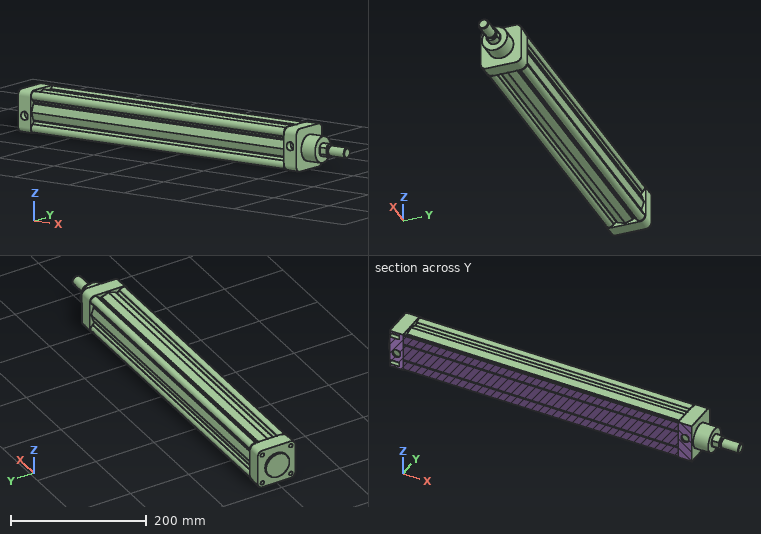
import cadquery as cq
import math


total_length = 579.0
collar_length = 3.5
cap_length = 23.0
barrel_length = 460.5
neck_length = 25.0
thread_length = 29.5
undercut_length = 2.5

rear_cap_start = -total_length / 2 + collar_length
barrel_start = rear_cap_start + cap_length
front_cap_start = barrel_start + barrel_length
front_cap_end = front_cap_start + cap_length
neck_end = front_cap_end + neck_length
rod_end = total_length / 2
thread_start = rod_end - thread_length
flats_end = thread_start - undercut_length

cap_size = 65.0
cap_corner_radius = 9.0
collar_diameter = 40.0
screw_spacing = 49.0
screw_hole_diameter = 6.0
screw_hole_depth = 16.0
port_diameter = 12.5
port_depth = 10.0
port_offset = 6.0

body_radius = 28.6
corner_flat_distance = 27.0
lobe_radius = 6.7
lobe_offset = screw_spacing / 2
web_width = 13.8
web_reach = 32.2
ridge_height = 30.0
ridge_half_width = 8.2

rod_diameter = 20.0
rod_across_flats = 17.4
flats_gap = 1.0
undercut_diameter = 13.5
thread_diameter = 16.0
thread_chamfer = 1.0


def cross_section(x):
    """Work plane normal to X at the given station: local x is +Y, local y is +Z."""
    return cq.Workplane("YZ", origin=(x, 0, 0))


def cap_block(start):
    block = cross_section(start).rect(cap_size, cap_size).extrude(cap_length)
    return block.edges("|X").fillet(cap_corner_radius)


def port_hole(cap_start, height):
    """Blind air port sunk into the -Y side of a cap, midway along its length."""
    port_x = cap_start + cap_length / 2
    plane = cq.Workplane("XZ", origin=(port_x, -cap_size / 2, height))
    return plane.circle(port_diameter / 2).extrude(-port_depth)


def make_rear_cap():
    collar = cross_section(-total_length / 2).circle(collar_diameter / 2).extrude(collar_length)
    screw_holes = (
        cross_section(rear_cap_start)
        .rect(screw_spacing, screw_spacing, forConstruction=True)
        .vertices()
        .circle(screw_hole_diameter / 2)
        .extrude(screw_hole_depth)
    )
    cap = cap_block(rear_cap_start).union(collar)
    return cap.cut(screw_holes).cut(port_hole(rear_cap_start, -port_offset))


def make_front_cap():
    neck = cross_section(front_cap_end).circle(collar_diameter / 2).extrude(neck_length)
    rod_bore = cross_section(front_cap_start).circle(rod_diameter / 2).extrude(cap_length + neck_length)
    cap = cap_block(front_cap_start).union(neck)
    return cap.cut(rod_bore).cut(port_hole(front_cap_start, port_offset))


def make_barrel():
    """Round bar with four corner lobes on diagonal webs and a low ridge on each side."""
    barrel = cross_section(barrel_start).circle(body_radius).extrude(barrel_length)

    flats_box = cross_section(barrel_start).rect(2 * corner_flat_distance, 2 * corner_flat_distance)
    flats_box = flats_box.extrude(barrel_length).rotate((0, 0, 0), (1, 0, 0), 45)
    barrel = barrel.intersect(flats_box)

    ridge_foot = math.sqrt(body_radius**2 - ridge_half_width**2)
    ridge_outline = [
        (0, 0),
        (ridge_foot, -ridge_half_width),
        (ridge_height, 0),
        (ridge_foot, ridge_half_width),
    ]
    ridge = cross_section(barrel_start).polyline(ridge_outline).close().extrude(barrel_length)

    lobe_distance = lobe_offset * math.sqrt(2)
    lobe = cross_section(barrel_start).center(lobe_distance, 0).circle(lobe_radius).extrude(barrel_length)
    web = cross_section(barrel_start).center(web_reach / 2, 0)
    web = web.rect(web_reach, web_width).extrude(barrel_length)
    corner = lobe.union(web)

    for side in range(4):
        angle = 90 * side
        barrel = barrel.union(corner.rotate((0, 0, 0), (1, 0, 0), angle + 45))
        barrel = barrel.union(ridge.rotate((0, 0, 0), (1, 0, 0), angle))
    return barrel


def make_rod():
    shank = cross_section(front_cap_start).circle(rod_diameter / 2).extrude(flats_end - front_cap_start)
    undercut = cross_section(flats_end).circle(undercut_diameter / 2).extrude(undercut_length)
    thread = cross_section(thread_start).circle(thread_diameter / 2).extrude(thread_length)
    thread = thread.faces(">X").chamfer(thread_chamfer)

    flats_start = neck_end + flats_gap
    flats_length = flats_end - flats_start
    flat_depth = (rod_diameter - rod_across_flats) / 2
    for side in (-1, 1):
        flat_cut = cross_section(flats_start).center(side * (rod_across_flats + flat_depth) / 2, 0)
        shank = shank.cut(flat_cut.rect(flat_depth, rod_diameter).extrude(flats_length))
    return shank.union(undercut).union(thread)


rear_cap = make_rear_cap()
front_cap = make_front_cap()
barrel = make_barrel()
rod = make_rod()

result = cq.Compound.makeCompound([rear_cap.val(), front_cap.val(), barrel.val(), rod.val()])